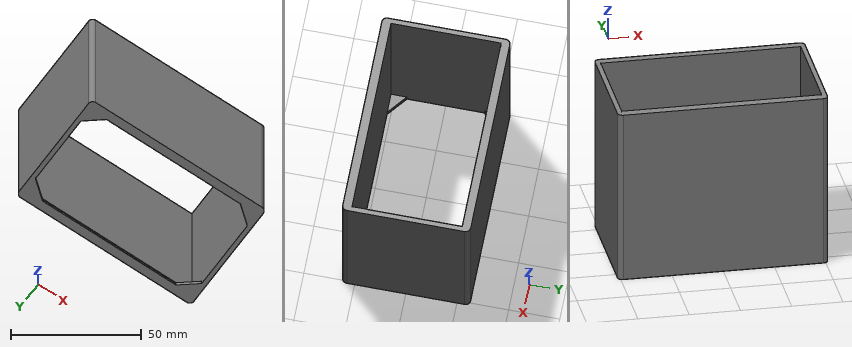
import cadquery as cq

length = 82.0
width = 50.0
height = 70.0
corner_radius = 2.0

end_wall = 2.0
front_wall = 3.6
back_wall = 3.4

floor_thickness = 2.0
ledge_depth = 0.3
gusset_length = 7.7
gusset_width = 6.2

cavity_x = length / 2 - end_wall
cavity_front = -width / 2 + front_wall
cavity_back = width / 2 - back_wall
ledge_edge = cavity_back - ledge_depth


def make_block():
    """Solid block with rounded vertical edges."""
    block = cq.Workplane("XY").box(length, width, height, centered=(True, True, False))
    return block.edges("|Z").fillet(corner_radius)


def make_cavity():
    """Rectangular cavity, open at the top, above the ledge and gussets."""
    cavity_width = cavity_back - cavity_front
    return (
        cq.Workplane("XY", origin=(0, (cavity_front + cavity_back) / 2, floor_thickness))
        .rect(2 * cavity_x, cavity_width)
        .extrude(height - floor_thickness)
    )


def make_bottom_opening():
    """Through opening that leaves a back ledge and a triangular gusset in each corner."""
    inner_x = cavity_x - gusset_length
    inner_front = cavity_front + gusset_width
    inner_back = ledge_edge - gusset_width
    outline = [
        (-inner_x, cavity_front),
        (inner_x, cavity_front),
        (cavity_x, inner_front),
        (cavity_x, inner_back),
        (inner_x, ledge_edge),
        (-inner_x, ledge_edge),
        (-cavity_x, inner_back),
        (-cavity_x, inner_front),
    ]
    return cq.Workplane("XY").polyline(outline).close().extrude(floor_thickness)


result = make_block().cut(make_cavity()).cut(make_bottom_opening())